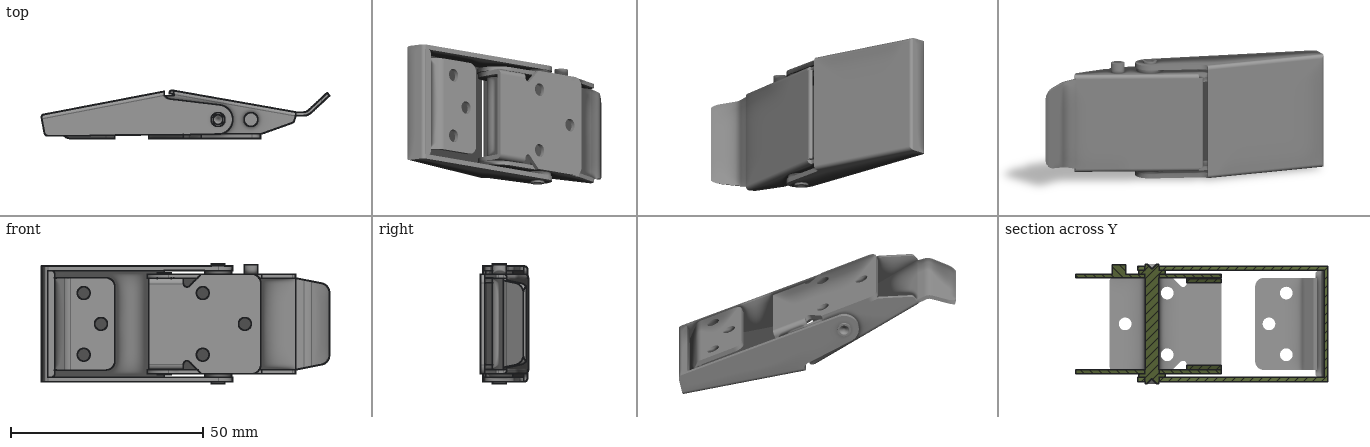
import cadquery as cq
import math


LINK_PIVOT = (46.0, 4.95)
BASE_PIVOT = (31.95, 6.75)
PIN_R = 1.8

LINK_HALF = 15.1
LINK_WALL = 1.2
LINK_WEB = 1.0
LINK_INNER = LINK_HALF - LINK_WALL
LINK_EDGE_R = 1.0
LINK_FOOT = (0.9, 0.7)
LINK_HEEL = (-0.11, 6.15)
LINK_PEAK = (32.0, 12.3)
LINK_SHOULDER_Y = 11.25
LINK_NECK_MID = (32.7, 10.6)
LINK_NECK = (33.5, 10.3)
LINK_EYE_R = 3.8
LINK_FOOT_R = 1.0
LINK_HEEL_R = 0.75
LIP_END = 3.45
LIP_CORNER_R = 0.9

SHEET = 1.2
PLATE_CORNER_R = 2.3

LEVER_HALF = 13.0
LEVER_WALL = 1.05
LEVER_INNER = LEVER_HALF - LEVER_WALL
LEVER_WEB = 1.0
LEVER_EDGE_R = 1.0
LEVER_TIP_R = 4.4
LEVER_WALL_START = 34.5
LEVER_WALL_END = 57.3
LEVER_END = 66.2
LEVER_END_TOP = 6.9
LEVER_CHIN = (65.7, 4.2)
LEVER_CHIN_R = 0.9
LEVER_SLOPE = math.radians(10)
NOSE_LENGTH = 1.2
NOSE_R = 0.75

TAB_BEND_START = 68.25
TAB_BEND_R = 2.85
TAB_ANGLE = math.radians(43)
TAB_END = 75
TAB_ROOT_HALF = LEVER_INNER
TAB_TIP_HALF = 10.2
TAB_CORNER_R = 2.6

STUD_X = 54.5
STUD_R = 1.8
STUD_TOP = 15.45

BASE_START = 27.9
FLANGE_END = 37.0
BASE_END = 57.1
FLANGE_OUTER = 11.85
FLANGE_BEND_R = 1.35
FLANGE_TOP = 10.9
FLANGE_CORNER_R = 4.1
NOTCH_R = 0.9

CATCH_END = 19.1
CATCH_HALF = 12.0
CATCH_BEND_START = 7.6
CATCH_BEND_R = 2.25
CATCH_ANGLE = math.radians(45)
HOOK_LENGTH = 4.1

HOLE_R = 1.65
HOLE_Z = 8.0
CATCH_PAIR_X = 11.0
CATCH_SINGLE_X = 15.5
BASE_PAIR_X = 42.0
BASE_SINGLE_X = 52.95

LINK_PIN_HALF = 15.6
BASE_PIN_HALF = 13.3
COLLAR_R = 3.5
DIMPLE_R = 1.3
DIMPLE_DEPTH = 1.3


def across(sketch, half):
    """Extrude an XY outline symmetrically to z = -half and z = +half."""
    return sketch.extrude(half, both=True)


def cylinder_z(center, radius, z_low, z_high):
    """Cylinder parallel to Z."""
    return cq.Workplane("XY", origin=(*center, z_low)).circle(radius).extrude(z_high - z_low)


def box(x_range, y_range, half):
    """Box between two X and two Y limits, symmetric in Z."""
    (x0, x1), (y0, y1) = x_range, y_range
    return across(cq.Workplane("XY").moveTo((x0 + x1) / 2, (y0 + y1) / 2).rect(x1 - x0, y1 - y0), half)


def tangent_point(point, center, radius, side):
    """Where a line from a point touches a circle; side +1 or -1 picks one of the two tangents."""
    dx = point[0] - center[0]
    dy = point[1] - center[1]
    angle = math.atan2(dy, dx) + side * math.acos(radius / math.hypot(dx, dy))
    return (center[0] + radius * math.cos(angle), center[1] + radius * math.sin(angle))


def mounting_holes(pair_x, single_x):
    """Two holes side by side and one on the mid plane, through a plate lying on y = 0."""
    centers = [(pair_x, -HOLE_Z), (pair_x, HOLE_Z), (single_x, 0)]
    return cq.Workplane("XZ").pushPoints(centers).circle(HOLE_R).extrude(-SHEET)


def make_link():
    """Channel-shaped draw link with a hooked front lip and two eyes for the link pin."""
    eye_far = (LINK_PIVOT[0] + LINK_EYE_R, LINK_PIVOT[1])
    outline = (
        cq.Workplane("XY")
        .moveTo(*LINK_FOOT)
        .lineTo(*tangent_point(LINK_FOOT, LINK_PIVOT, LINK_EYE_R, 1))
        .threePointArc(eye_far, tangent_point(LINK_NECK, LINK_PIVOT, LINK_EYE_R, -1))
        .lineTo(*LINK_NECK)
        .threePointArc(LINK_NECK_MID, (LINK_PEAK[0], LINK_SHOULDER_Y))
        .lineTo(*LINK_PEAK)
        .lineTo(*LINK_HEEL)
        .close()
    )
    link = across(outline, LINK_HALF)

    for corner, radius in ((LINK_FOOT, LINK_FOOT_R), (LINK_HEEL, LINK_HEEL_R)):
        link = link.edges(cq.selectors.NearestToPointSelector((*corner, 0))).fillet(radius)

    web_slope = math.atan2(LINK_PEAK[1] - LINK_HEEL[1], LINK_PEAK[0] - LINK_HEEL[0])
    reach = 2 * LINK_PIVOT[0]
    block = box((-reach, reach), (-reach, 0), LINK_HALF).edges("|X and >Y").fillet(LINK_EDGE_R)
    block = block.rotate((0, 0, 0), (0, 0, 1), math.degrees(web_slope)).translate((*LINK_HEEL, 0))
    link = link.intersect(block)

    ceiling_at_zero = LINK_HEEL[1] - LINK_WEB / math.cos(web_slope)
    wall_lean = (LINK_FOOT[0] - LINK_HEEL[0]) / (LINK_HEEL[1] - LINK_FOOT[1])
    inner_top_x = LINK_HEEL[0] + LINK_WALL
    inner_bottom_x = inner_top_x + wall_lean * LINK_HEEL[1]
    far_x = LINK_PIVOT[0] + 2 * LINK_EYE_R
    hollow = cq.Workplane("XY").polyline(
        [
            (inner_bottom_x, 0),
            (far_x, 0),
            (far_x, ceiling_at_zero + far_x * math.tan(web_slope)),
            (inner_top_x, ceiling_at_zero + inner_top_x * math.tan(web_slope)),
        ]
    ).close()
    link = link.cut(across(hollow, LINK_INNER))

    lip_root_x = inner_bottom_x - LINK_WALL / 2
    lip = box((lip_root_x, LIP_END), (LINK_FOOT[1], LINK_FOOT[1] + LINK_WALL), LINK_INNER)
    lip = lip.edges("|Y and >X").fillet(LIP_CORNER_R)
    link = link.union(lip)

    return link.cut(cylinder_z(LINK_PIVOT, PIN_R, -LINK_HALF, LINK_HALF))


def lever_top(x):
    """Y of the outer face of the sloping lever web."""
    return LEVER_END_TOP + (LEVER_END - x) * math.tan(LEVER_SLOPE)


def make_tab():
    """Finger tab that leaves the lever end level and bends backwards, tapering to a rounded end."""
    floor = LEVER_END_TOP - LEVER_WEB
    bend_center = (TAB_BEND_START, floor + TAB_BEND_R)

    def on_bend(radius, angle):
        return (bend_center[0] + radius * math.sin(angle), bend_center[1] - radius * math.cos(angle))

    inner_r = TAB_BEND_R - LEVER_WEB
    outer_end = on_bend(TAB_BEND_R, TAB_ANGLE)
    tip = (TAB_END, outer_end[1] + (TAB_END - outer_end[0]) * math.tan(TAB_ANGLE))
    inner_tip = (tip[0] - LEVER_WEB * math.sin(TAB_ANGLE), tip[1] + LEVER_WEB * math.cos(TAB_ANGLE))
    profile = (
        cq.Workplane("XY")
        .moveTo(LEVER_END, floor)
        .lineTo(*on_bend(TAB_BEND_R, 0))
        .threePointArc(on_bend(TAB_BEND_R, TAB_ANGLE / 2), outer_end)
        .lineTo(*tip)
        .lineTo(*inner_tip)
        .lineTo(*on_bend(inner_r, TAB_ANGLE))
        .threePointArc(on_bend(inner_r, TAB_ANGLE / 2), on_bend(inner_r, 0))
        .lineTo(LEVER_END, LEVER_END_TOP)
        .close()
    )
    plan = cq.Workplane("XZ").polyline(
        [
            (LEVER_END, -TAB_ROOT_HALF),
            (TAB_END, -TAB_TIP_HALF),
            (TAB_END, TAB_TIP_HALF),
            (LEVER_END, TAB_ROOT_HALF),
        ]
    ).close().extrude(-2 * LEVER_END_TOP)
    plan = plan.edges("|Y and >X").fillet(TAB_CORNER_R)
    return across(profile, TAB_ROOT_HALF).intersect(plan)


def make_lever():
    """Channel-shaped lever that pivots on the base, with a finger tab and a stop stud.

    Its walls rest on the base plate, so they start one sheet thickness above y = 0.
    """
    tip_x = BASE_PIVOT[0] - LEVER_TIP_R
    tip_diagonal = LEVER_TIP_R * math.sqrt(0.5)
    belly_r = BASE_PIVOT[1] - SHEET
    belly_start = tip_x + belly_r
    belly_diagonal = belly_r * math.sqrt(0.5)
    shoulder_y = BASE_PIVOT[1] + LEVER_TIP_R
    outline = (
        cq.Workplane("XY")
        .moveTo(belly_start, SHEET)
        .lineTo(LEVER_WALL_END, SHEET)
        .lineTo(*LEVER_CHIN)
        .lineTo(LEVER_END, LEVER_END_TOP - LEVER_WEB)
        .lineTo(LEVER_END, LEVER_END_TOP)
        .lineTo(LEVER_WALL_START, lever_top(LEVER_WALL_START))
        .lineTo(LEVER_WALL_START, shoulder_y)
        .lineTo(BASE_PIVOT[0], shoulder_y)
        .threePointArc(
            (BASE_PIVOT[0] - tip_diagonal, BASE_PIVOT[1] + tip_diagonal), (tip_x, BASE_PIVOT[1])
        )
        .threePointArc((belly_start - belly_diagonal, BASE_PIVOT[1] - belly_diagonal), (belly_start, SHEET))
        .close()
    )
    lever = across(outline, LEVER_HALF)
    lever = lever.edges(cq.selectors.NearestToPointSelector((*LEVER_CHIN, 0))).fillet(LEVER_CHIN_R)
    web_mid_x = (LEVER_WALL_START + LEVER_END) / 2
    for side in (1, -1):
        web_edge = (web_mid_x, lever_top(web_mid_x), side * LEVER_HALF)
        lever = lever.edges(cq.selectors.NearestToPointSelector(web_edge)).fillet(LEVER_EDGE_R)

    web_drop = LEVER_WEB / math.cos(LEVER_SLOPE)
    hollow_start = tip_x - LEVER_WALL
    hollow_end = LEVER_END + LEVER_WALL
    hollow = cq.Workplane("XY").polyline(
        [
            (hollow_start, 0),
            (hollow_end, 0),
            (hollow_end, lever_top(hollow_end) - web_drop),
            (hollow_start, lever_top(hollow_start) - web_drop),
        ]
    ).close()
    lever = lever.cut(across(hollow, LEVER_INNER))

    nose_x = LEVER_WALL_START - NOSE_LENGTH
    nose = cq.Workplane("XY").polyline(
        [
            (nose_x, lever_top(nose_x)),
            (nose_x, lever_top(nose_x) - web_drop),
            (LEVER_WALL_START, lever_top(LEVER_WALL_START) - web_drop),
            (LEVER_WALL_START, lever_top(LEVER_WALL_START)),
        ]
    ).close()
    nose = across(nose, LEVER_INNER)
    nose = nose.edges(cq.selectors.NearestToPointSelector((nose_x, lever_top(nose_x), 0))).fillet(NOSE_R)

    stud = cylinder_z((STUD_X, LINK_PIVOT[1]), STUD_R, LEVER_INNER, STUD_TOP)
    lever = lever.union(nose).union(make_tab()).union(stud)
    for pivot in (LINK_PIVOT, BASE_PIVOT):
        lever = lever.cut(cylinder_z(pivot, PIN_R, -LEVER_HALF, LEVER_HALF))
    return lever


def make_base():
    """Mounting plate with two rolled flanges that carry the base pin."""
    flanged = box((BASE_START, FLANGE_END), (0, FLANGE_TOP), FLANGE_OUTER)
    flanged = flanged.edges("|X and <Y").fillet(FLANGE_BEND_R)
    flanged = flanged.edges("|Z and >Y").fillet(FLANGE_CORNER_R)
    inside = box((BASE_START, FLANGE_END), (SHEET, FLANGE_TOP), FLANGE_OUTER - SHEET)
    inside = inside.edges("|X and <Y").fillet(FLANGE_BEND_R - SHEET)
    flanged = flanged.cut(inside)
    flanged = flanged.cut(cylinder_z(BASE_PIVOT, PIN_R, -FLANGE_OUTER, FLANGE_OUTER))

    plate = box((FLANGE_END, BASE_END), (0, SHEET), LEVER_HALF)
    plate = plate.edges("|Y and >X").fillet(PLATE_CORNER_R)

    notch_z = FLANGE_OUTER - FLANGE_BEND_R
    notch_x = FLANGE_END + NOTCH_R
    diagonal = NOTCH_R * math.sqrt(0.5)
    exit_x = notch_x + diagonal + LEVER_HALF - (notch_z - diagonal)
    for side in (1, -1):
        notch = (
            cq.Workplane("XZ")
            .moveTo(FLANGE_END, side * notch_z)
            .threePointArc(
                (notch_x, side * (notch_z - NOTCH_R)), (notch_x + diagonal, side * (notch_z - diagonal))
            )
            .lineTo(exit_x, side * LEVER_HALF)
            .lineTo(FLANGE_END, side * LEVER_HALF)
            .close()
            .extrude(-SHEET)
        )
        plate = plate.cut(notch)

    return flanged.union(plate).cut(mounting_holes(BASE_PAIR_X, BASE_SINGLE_X))


def make_catch():
    """Mounting plate whose end bends back into a hook behind the link lip."""
    bend_center = (CATCH_BEND_START, CATCH_BEND_R)
    along = (-math.cos(CATCH_ANGLE), math.sin(CATCH_ANGLE))

    def on_bend(radius, angle):
        return (bend_center[0] - radius * math.sin(angle), bend_center[1] - radius * math.cos(angle))

    def hook_end(radius):
        x, y = on_bend(radius, CATCH_ANGLE)
        return (x + HOOK_LENGTH * along[0], y + HOOK_LENGTH * along[1])

    inner_r = CATCH_BEND_R - SHEET
    profile = (
        cq.Workplane("XY")
        .moveTo(CATCH_END, 0)
        .lineTo(*on_bend(CATCH_BEND_R, 0))
        .threePointArc(on_bend(CATCH_BEND_R, CATCH_ANGLE / 2), on_bend(CATCH_BEND_R, CATCH_ANGLE))
        .lineTo(*hook_end(CATCH_BEND_R))
        .lineTo(*hook_end(inner_r))
        .lineTo(*on_bend(inner_r, CATCH_ANGLE))
        .threePointArc(on_bend(inner_r, CATCH_ANGLE / 2), on_bend(inner_r, 0))
        .lineTo(CATCH_END, SHEET)
        .close()
    )
    catch = across(profile, CATCH_HALF)
    catch = catch.edges("|Y and >X").fillet(PLATE_CORNER_R)
    return catch.cut(mounting_holes(CATCH_PAIR_X, CATCH_SINGLE_X))


def make_link_pin():
    """Pin joining link and lever, with a spacing collar at each wall and a conical dimple in each end."""
    pin = cylinder_z(LINK_PIVOT, PIN_R, -LINK_PIN_HALF, LINK_PIN_HALF)
    for inner, outer in ((LEVER_HALF, LINK_INNER), (-LINK_INNER, -LEVER_HALF)):
        pin = pin.union(cylinder_z(LINK_PIVOT, COLLAR_R, inner, outer))
    for side in (1, -1):
        mouth = cq.Vector(*LINK_PIVOT, side * LINK_PIN_HALF)
        dimple = cq.Solid.makeCone(DIMPLE_R, 0, DIMPLE_DEPTH, mouth, cq.Vector(0, 0, -side))
        pin = pin.cut(cq.Workplane(dimple))
    return pin


def make_base_pin():
    """Plain pin joining lever and base."""
    return cylinder_z(BASE_PIVOT, PIN_R, -BASE_PIN_HALF, BASE_PIN_HALF)


link = make_link()
lever = make_lever()
base = make_base()
catch = make_catch()
link_pin = make_link_pin()
base_pin = make_base_pin()

result = cq.Compound.makeCompound(
    [link.val(), lever.val(), base.val(), catch.val(), link_pin.val(), base_pin.val()]
)